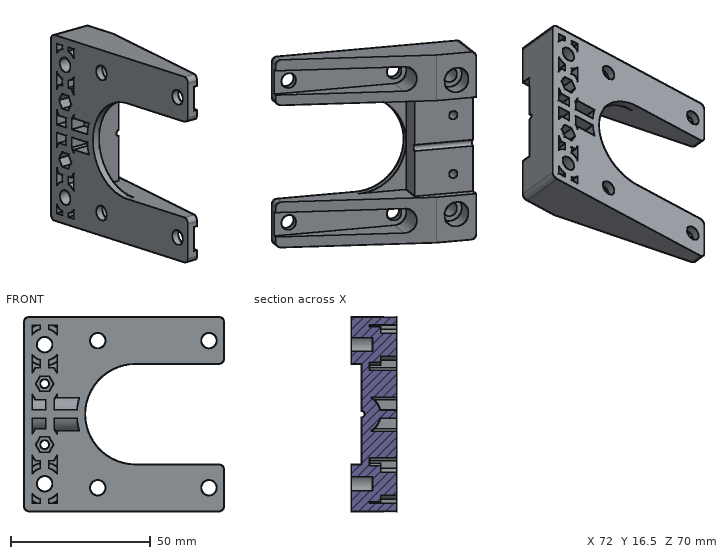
import cadquery as cq
import math

length = 72.0
thickness = 16.5
width = 70.0
corner_radius = 2.0
wall = 3.0

taper_start_x = 15.2
tip_thickness = 4.5

mouth_radius = 18.0
mouth_center_x = 40.1

channel_depth = 3.7
channel_floor_y = thickness - channel_depth
groove_radius = 1.15

hole_diameter = 5.5
counterbore_diameter = 9.1
column_x = 7.5
column_hole_z = 25.0
arm_hole_x = (26.6, 66.5)
arm_hole_z = 26.4

nut_z = 10.95
nut_across_flats = 5.55
nut_depth = 5.75
nut_screw_diameter = 3.1

pocket_depth = channel_floor_y - wall
pocket_half_width = 4.5
pocket_step_depth = 5.75
boss_radius = hole_diameter / 2 + wall
deep_boss_radius = counterbore_diameter / 2 + wall
nut_boss_across_flats = nut_across_flats + 2 * wall
middle_rib_x = 9.4
middle_pocket_half_height = 5.9
middle_floor_radius = 7.0


def box(x_range, y_range, z_range):
    """Axis-aligned box between the given limits."""
    sizes = [high - low for low, high in (x_range, y_range, z_range)]
    corner = (x_range[0], y_range[0], z_range[0])
    return cq.Workplane("XY").box(*sizes, centered=False).translate(corner)


def cylinder_y(x, z, radius, y_start, y_end):
    """Cylinder along Y."""
    return cq.Workplane("XZ", origin=(x, y_start, z)).circle(radius).extrude(y_start - y_end)


def cylinder_x(y, radius):
    """Cylinder along X over the full length, on the centre plane."""
    return cq.Workplane("YZ", origin=(0, y, 0)).circle(radius).extrude(length)


def hexagon_y(x, z, across_flats, depth):
    """Hexagonal prism from the front face, with corners pointing along X."""
    across_corners = across_flats / math.cos(math.pi / 6)
    return cq.Workplane("XZ", origin=(x, 0, z)).polygon(6, across_corners).extrude(-depth)


def both_sides(solid):
    """The solid together with its mirror image in Z."""
    return solid.union(solid.mirror("XY"))


def make_body():
    """U-shaped plate with rounded corners and a tapered back."""
    mouth = cylinder_y(mouth_center_x, 0, mouth_radius, 0, thickness)
    mouth = mouth.union(box((mouth_center_x, length), (0, thickness), (-mouth_radius, mouth_radius)))
    plate = box((0, length), (0, thickness), (-width / 2, width / 2)).cut(mouth)
    plate = plate.edges("|Y").edges("<X or >X").fillet(corner_radius)
    profile = [
        (0, 0),
        (length, 0),
        (length, tip_thickness),
        (taper_start_x, thickness),
        (0, thickness),
    ]
    wedge = cq.Workplane("XY").polyline(profile).close().extrude(width / 2, both=True)
    return plate.intersect(wedge)


def make_channel():
    """Back channel and groove, deepened behind the mouth to leave a thin front ledge."""
    z_range = (-mouth_radius, mouth_radius)
    channel = box((0, length), (channel_floor_y, thickness), z_range)
    deep_part = box((mouth_center_x - mouth_radius, length), (wall, thickness), z_range)
    return channel.union(deep_part).union(cylinder_x(channel_floor_y, groove_radius))


def make_column_holes():
    """Screw holes counterbored from the back, and nut traps open to the front."""
    counterbore_floor_y = pocket_step_depth + wall
    holes = cylinder_y(column_x, column_hole_z, hole_diameter / 2, 0, thickness)
    holes = holes.union(
        cylinder_y(column_x, column_hole_z, counterbore_diameter / 2, counterbore_floor_y, thickness)
    )
    holes = holes.union(cylinder_y(column_x, nut_z, nut_screw_diameter / 2, 0, thickness))
    holes = holes.union(hexagon_y(column_x, nut_z, nut_across_flats, nut_depth))
    return both_sides(holes)


def make_arm_holes():
    """Arm holes through the floor of a screw-head slot that runs out at the arm tip."""
    slot_radius = counterbore_diameter / 2
    slot_start_x = arm_hole_x[0]
    slot_z_range = (arm_hole_z - slot_radius, arm_hole_z + slot_radius)
    holes = cylinder_y(slot_start_x, arm_hole_z, slot_radius, wall, thickness)
    holes = holes.union(box((slot_start_x, length), (wall, thickness), slot_z_range))
    for x in arm_hole_x:
        holes = holes.union(cylinder_y(x, arm_hole_z, hole_diameter / 2, 0, thickness))
    return both_sides(holes)


def make_column_pockets():
    """Pockets around the column holes, leaving stepped bosses and a rib along the column."""
    y_range = (0, pocket_depth)
    x_range = (column_x - pocket_half_width, column_x + pocket_half_width)
    pockets = box(x_range, y_range, (nut_z, width / 2 - wall))
    pockets = pockets.cut(box((column_x - wall / 2, column_x + wall / 2), y_range, (0, width / 2)))
    pockets = pockets.cut(cylinder_y(column_x, column_hole_z, boss_radius, 0, pocket_depth))
    pockets = pockets.cut(
        cylinder_y(column_x, column_hole_z, deep_boss_radius, pocket_step_depth, pocket_depth)
    )
    pockets = pockets.cut(hexagon_y(column_x, nut_z, nut_boss_across_flats, pocket_depth))
    return both_sides(pockets)


def make_middle_pockets():
    """Pockets beside the centre plane, with a floor curved around the groove."""
    y_range = (0, pocket_depth)
    left_x = column_x - pocket_half_width
    right_x = column_x + pocket_half_width
    pockets = box((left_x, right_x), y_range, (wall / 2, nut_z))
    pockets = pockets.union(
        box((right_x, mouth_center_x), y_range, (wall / 2, middle_pocket_half_height))
    )
    pockets = pockets.cut(box((middle_rib_x - wall / 2, middle_rib_x + wall / 2), y_range, (0, nut_z)))
    pockets = pockets.cut(cylinder_y(mouth_center_x, 0, mouth_radius + wall, 0, pocket_depth))
    pockets = pockets.cut(hexagon_y(column_x, nut_z, nut_boss_across_flats, pocket_depth))
    pockets = pockets.cut(cylinder_x(channel_floor_y, middle_floor_radius))
    return both_sides(pockets)


result = make_body()
result = result.cut(make_channel())
result = result.cut(make_column_holes()).cut(make_arm_holes())
result = result.cut(make_column_pockets()).cut(make_middle_pockets())